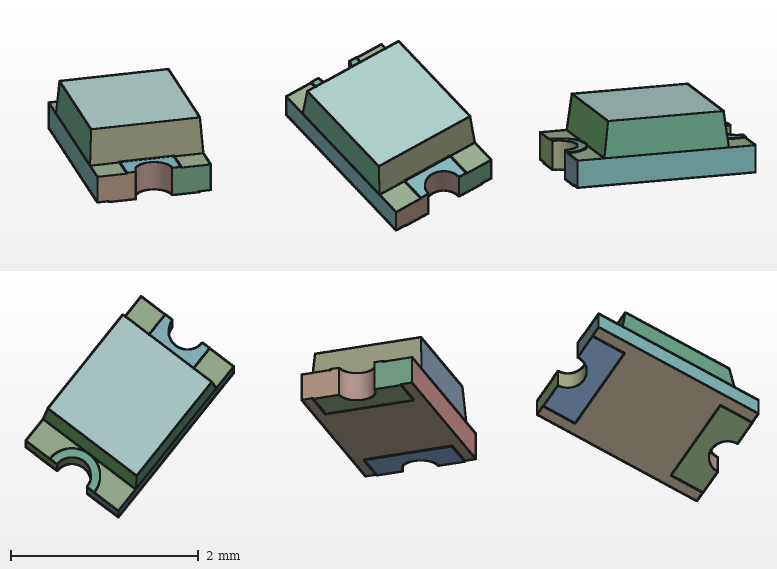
import cadquery as cq


board_length = 2.0
board_width = 1.25
board_height = 0.3
end_notch_radius = 0.2

pad_thickness = 0.01
ring_pad_radius = 0.3
bar_pad_width = 2 * ring_pad_radius
solder_pad_length = 0.4
solder_pad_width = 1.0

lens_length = 1.4
lens_height = 0.4
lens_top_length = 1.3
lens_top_width = 1.2

board_end = board_length / 2
lens_end = lens_length / 2
end_directions = (-1, 1)


def plain_board():
    return cq.Workplane("XY").box(
        board_length, board_width, board_height, centered=(True, True, False)
    )


def ring_pad():
    """Raised half-round pad around the notch at the -X end."""
    return (
        cq.Workplane("XY", origin=(-board_end, 0, board_height))
        .moveTo(0, -ring_pad_radius)
        .threePointArc((ring_pad_radius, 0), (0, ring_pad_radius))
        .close()
        .extrude(pad_thickness)
    )


def bar_pad():
    """Raised rectangular pad from the lens to the +X end."""
    bar_pad_length = board_end - lens_end
    return cq.Workplane("XY", origin=(lens_end, 0, board_height)).box(
        bar_pad_length, bar_pad_width, pad_thickness, centered=(False, True, False)
    )


def solder_pad(direction):
    """Pad on the underside at one end of the board."""
    pad_center = direction * (board_end - solder_pad_length / 2)
    return cq.Workplane("XY", origin=(pad_center, 0, -pad_thickness)).box(
        solder_pad_length, solder_pad_width, pad_thickness, centered=(True, True, False)
    )


def end_notch(direction):
    """Round cutter through the board and its pads at one end."""
    notch_height = board_height + 2 * pad_thickness
    return (
        cq.Workplane("XY", origin=(direction * board_end, 0, -pad_thickness))
        .circle(end_notch_radius)
        .extrude(notch_height)
    )


def make_board():
    body = plain_board().union(ring_pad()).union(bar_pad())
    for direction in end_directions:
        body = body.union(solder_pad(direction))
    for direction in end_directions:
        body = body.cut(end_notch(direction))
    return body.solids()


def make_lens():
    """Block as wide as the board, narrowing upwards on all four sides."""
    return (
        cq.Workplane("XY", origin=(0, 0, board_height))
        .rect(lens_length, board_width)
        .workplane(offset=lens_height)
        .rect(lens_top_length, lens_top_width)
        .loft(ruled=True)
    )


board = make_board()
lens = make_lens()

result = cq.Compound.makeCompound([board.val(), lens.val()])